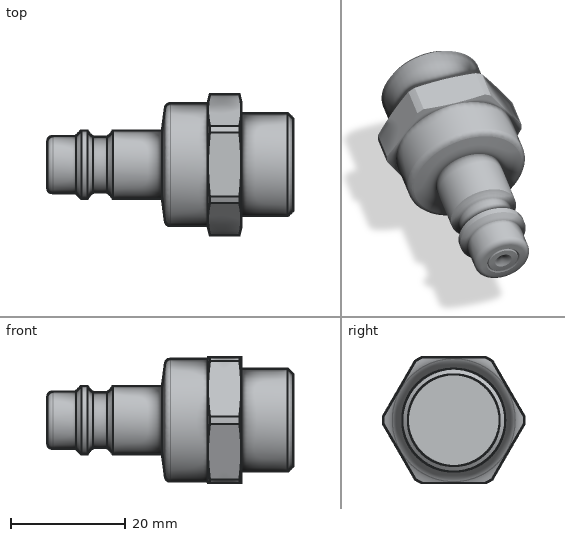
import cadquery as cq
import math

collar_start = 5.0
bevel_length = 1.0
collar_width = 1.05
collar_end = collar_start + bevel_length + collar_width
flank_length = 1.05
flank_sag = 0.15
neck_length = 2.4
neck_start = collar_end + flank_length
neck_end = neck_start + neck_length
stem_start = neck_end + flank_length
body_start = 20.05
hex_start = 28.05
hex_width = 5.95
hex_end = hex_start + hex_width
total_length = 43.0

nose_radius = 10.0 / 2
collar_radius = 12.0 / 2
neck_radius = 9.75 / 2
stem_radius = collar_radius
body_radius = 21.5 / 2
end_radius = 18.0 / 2

nose_fillet = 1.0
body_fillet = 1.0
body_face_rise = 0.65
end_chamfer = 1.0

across_flats = 22.0
across_corners = 24.7
hex_chamfer_depth = 0.4

bore_radius = 5.6 / 2
plug_radius = 5.45 / 2
rim_chamfer = 0.2
plug_chamfer = 0.15
plug_gap_depth = 0.85
dimple_radius = 3.0 / 2
dimple_depth = 1.08


def revolve_profile(points):
    """Revolve a closed (x, radius) outline about the X axis."""
    return cq.Workplane("XY").polyline(points).close().revolve(360, (0, 0, 0), (1, 0, 0))


def make_stem():
    """Nose, collar and stem, with hollow arcs leading into and out of the neck."""
    outline = (
        cq.Workplane("XY")
        .polyline([
            (0, 0),
            (0, nose_radius),
            (collar_start, nose_radius),
            (collar_start + bevel_length, collar_radius),
            (collar_end, collar_radius),
        ])
        .sagittaArc((neck_start, neck_radius), -flank_sag)
        .lineTo(neck_end, neck_radius)
        .sagittaArc((stem_start, stem_radius), -flank_sag)
        .lineTo(hex_start, stem_radius)
        .lineTo(hex_start, 0)
        .close()
    )
    stem = outline.revolve(360, (0, 0, 0), (1, 0, 0))
    return stem.faces("<X").edges().fillet(nose_fillet)


def make_body():
    """Large cylinder with a slightly conical front face and a rounded rim."""
    body = revolve_profile([
        (body_start, 0),
        (body_start, stem_radius),
        (body_start + body_face_rise, body_radius),
        (hex_start, body_radius),
        (hex_start, 0),
    ])
    rim = cq.selectors.RadiusNthSelector(-1)
    return body.edges("not >X").edges(rim).fillet(body_fillet)


def make_hexagon():
    """Hexagon with corners on +Y and -Y, turned to a cone at both ends."""
    sharp_corners = across_flats / math.cos(math.pi / 6)
    prism = (
        cq.Workplane("YZ")
        .workplane(offset=hex_start)
        .polygon(6, sharp_corners)
        .extrude(hex_width)
    )
    envelope = revolve_profile([
        (hex_start, 0),
        (hex_start, body_radius),
        (hex_start + hex_chamfer_depth, across_corners / 2),
        (hex_end - hex_chamfer_depth, across_corners / 2),
        (hex_end, body_radius),
        (hex_end, 0),
    ])
    return prism.intersect(envelope)


def make_connection_end():
    return (
        cq.Workplane("YZ")
        .workplane(offset=hex_end)
        .circle(end_radius)
        .extrude(total_length - hex_end)
        .faces(">X")
        .chamfer(end_chamfer)
    )


def make_plug_gap():
    """Narrow ring gap between the bore and the plug, with both rims chamfered."""
    return revolve_profile([
        (0, plug_radius - plug_chamfer),
        (plug_chamfer, plug_radius),
        (plug_gap_depth, plug_radius),
        (plug_gap_depth, bore_radius),
        (rim_chamfer, bore_radius),
        (0, bore_radius + rim_chamfer),
    ])


def make_dimple():
    return revolve_profile([(0, 0), (0, dimple_radius), (dimple_depth, 0)])


result = (
    make_stem()
    .union(make_body())
    .union(make_hexagon())
    .union(make_connection_end())
    .cut(make_plug_gap())
    .cut(make_dimple())
)